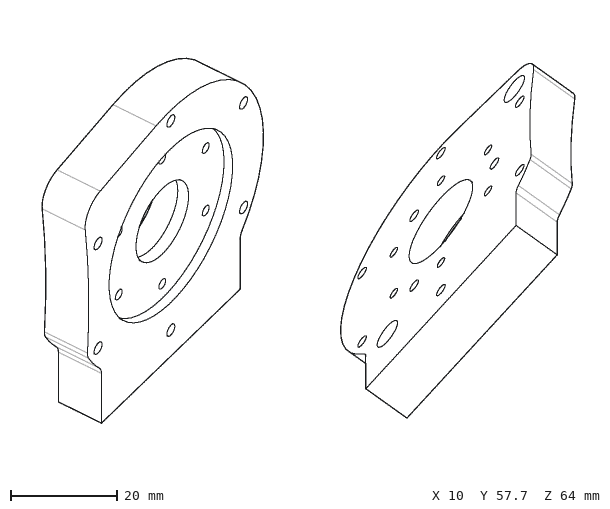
import cadquery as cq
import math

thickness = 10.0
overall_height = 64.0
main_radius = 30.0
base_half_width = 22.45
base_bottom_z = main_radius - overall_height
blend_radius = 3.0

corner_y = -21.95
corner_z = 21.0

hollow_radius = 180.0
hollow_nearest_y = -26.55

bore_centre = (0.0, 0.0)
seat_diameter = 19.0
seat_depth = 5.5
bore_diameter = 17.0

recess_diameter = 40.0
recess_depth = 2.0

outer_circle_radius = 27.2
outer_hole_diameter = 2.55
inner_circle_radius = 16.25
inner_hole_diameter = 2.2
hole_count = 6

pin_circle_radius = 16.0
pin_hole_diameter = 2.55
pin_count = 3
dowel_diameter = 6.1
dowel_centres = [(corner_y, corner_z), (16.0, -21.5)]
blind_depth = thickness / 2


def on_circle(centre, radius, angle):
    """Point on a circle, with the angle in radians from +Y towards +Z."""
    return (centre[0] + radius * math.cos(angle), centre[1] + radius * math.sin(angle))


def angle_to(start, end):
    """Direction from one point to another, in radians."""
    return math.atan2(end[1] - start[1], end[0] - start[0])


def plate():
    """Plate outline in the YZ plane, run counter-clockwise and extruded along X."""
    corner = (corner_y, corner_z)
    hollow = (hollow_nearest_y - hollow_radius, 0.0)

    corner_radius = math.dist(corner, hollow) - hollow_radius
    hollow_top_angle = angle_to(hollow, corner)
    corner_end = on_circle(hollow, hollow_radius, hollow_top_angle)
    corner_end_angle = hollow_top_angle + math.pi

    tangent_offset = math.acos((main_radius - corner_radius) / math.hypot(*corner))
    top_angle = angle_to(bore_centre, corner) - tangent_offset
    corner_mid_angle = (top_angle + corner_end_angle) / 2

    blend_to_bore = main_radius - blend_radius
    blend_to_hollow = hollow_radius + blend_radius
    hollow_to_bore = -hollow[0]
    blend_cosine = (blend_to_bore**2 + hollow_to_bore**2 - blend_to_hollow**2) / (
        2 * blend_to_bore * hollow_to_bore
    )
    blend_angle = math.pi + math.acos(blend_cosine)
    blend = on_circle(bore_centre, blend_to_bore, blend_angle)
    hollow_bottom_angle = angle_to(hollow, blend)
    blend_mid_angle = (hollow_bottom_angle + math.pi + blend_angle) / 2

    fillet_y = base_half_width + blend_radius
    fillet_z = -math.sqrt((main_radius + blend_radius) ** 2 - fillet_y**2)
    fillet_angle = math.atan2(fillet_z, fillet_y)
    fillet_mid_angle = math.pi + fillet_angle / 2
    main_end = on_circle(bore_centre, main_radius, fillet_angle)
    fillet_mid = on_circle((fillet_y, fillet_z), blend_radius, fillet_mid_angle)

    return (
        cq.Workplane("YZ")
        .moveTo(base_half_width, base_bottom_z)
        .lineTo(base_half_width, fillet_z)
        .threePointArc(fillet_mid, main_end)
        .threePointArc(
            on_circle(bore_centre, main_radius, (fillet_angle + top_angle) / 2),
            on_circle(bore_centre, main_radius, top_angle),
        )
        .lineTo(*on_circle(corner, corner_radius, top_angle))
        .threePointArc(on_circle(corner, corner_radius, corner_mid_angle), corner_end)
        .threePointArc(
            on_circle(hollow, hollow_radius, (hollow_top_angle + hollow_bottom_angle) / 2),
            on_circle(hollow, hollow_radius, hollow_bottom_angle),
        )
        .threePointArc(
            on_circle(blend, blend_radius, blend_mid_angle),
            on_circle(bore_centre, main_radius, blend_angle),
        )
        .threePointArc(
            on_circle(bore_centre, main_radius, (blend_angle + math.pi - fillet_angle) / 2),
            (-main_end[0], main_end[1]),
        )
        .threePointArc((-fillet_mid[0], fillet_mid[1]), (-base_half_width, fillet_z))
        .lineTo(-base_half_width, base_bottom_z)
        .close()
        .extrude(thickness)
    )


def ring(radius, count, first_angle):
    """Equally spaced points on a circle about the bore axis."""
    step = 2 * math.pi / count
    return [on_circle(bore_centre, radius, first_angle + i * step) for i in range(count)]


def holes(centres, diameter, depth):
    """Cylinders running from the -X face into the plate."""
    return cq.Workplane("YZ").pushPoints(centres).circle(diameter / 2).extrude(depth)


def recess():
    """Disc removed from the +X face."""
    return (
        cq.Workplane("YZ", origin=(thickness, 0, 0))
        .circle(recess_diameter / 2)
        .extrude(-recess_depth)
    )


outer_holes = ring(outer_circle_radius, hole_count, math.pi / 2)
inner_holes = ring(inner_circle_radius, hole_count, math.pi / 2)
pin_holes = ring(pin_circle_radius, pin_count, math.pi)

result = (
    plate()
    .cut(holes([bore_centre], bore_diameter, thickness))
    .cut(holes([bore_centre], seat_diameter, seat_depth))
    .cut(recess())
    .cut(holes(outer_holes, outer_hole_diameter, thickness))
    .cut(holes(inner_holes, inner_hole_diameter, thickness))
    .cut(holes(pin_holes, pin_hole_diameter, blind_depth))
    .cut(holes(dowel_centres, dowel_diameter, blind_depth))
)